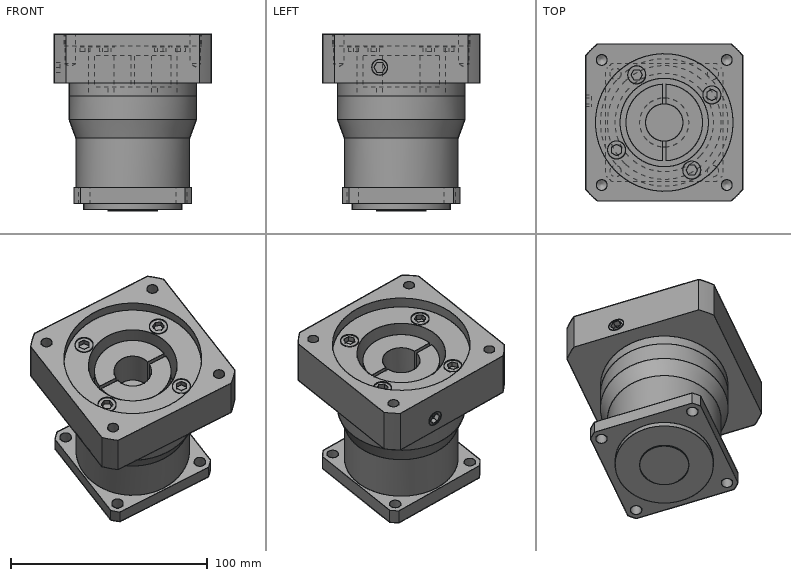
import cadquery as cq
import math

OUTPUT_BOSS_HEIGHT = 0.7
PILOT_HEIGHT = 3.0
FOOT_THICKNESS = 8.3
BARREL_HEIGHT = 25.0
CONE_HEIGHT = 9.6
GEAR_RING_HEIGHT = 12.0

TOTAL_HEIGHT = 90.0
PLATE_THICKNESS = 25.0

OUTPUT_BOSS_DIAMETER = 25.0
PILOT_DIAMETER = 50.0
BARREL_DIAMETER = 58.0
BODY_DIAMETER = 65.0
FOOT_SIDE = 60.0
FOOT_CORNER_DIAMETER = 80.3
FOOT_BOLT_CIRCLE = 70.0
FOOT_HOLE_DIAMETER = 5.8

COLLAR_DIAMETER = 39.0
COLLAR_HEIGHT = 16.0
COLLAR_TOP_DEPTH = 11.0
NECK_DIAMETER = 25.0
BORE_DIAMETER = 19.0
SLOT_WIDTH = 1.7

PLATE_SIDE = 80.0
PLATE_CORNER_DIAMETER = 105.0
MOTOR_PILOT_DIAMETER = 70.0
MOTOR_PILOT_DEPTH = 6.0
HUB_CLEARANCE_DIAMETER = 45.0
MOTOR_BOLT_CIRCLE = 90.0
MOTOR_HOLE_DIAMETER = 5.5
MOTOR_HOLE_DEPTH = 15.0
DRILL_POINT_ANGLE = 118.0

SCREW_CIRCLE_RADIUS = 28.0
SCREW_START_ANGLE = 30.0
SCREW_COUNT = 4
SCREW_HEAD_DIAMETER = 9.2
SCREW_EDGE_RADIUS = 0.5
PLUG_DIAMETER = 8.1
PLUG_GAP_WIDTH = 0.1
PLUG_GAP_DEPTH = 0.3
PLUG_Y = 11.0
PLUG_DEPTH_FROM_TOP = 16.9
SOCKET_ACROSS_FLATS = 5.0
SOCKET_DEPTH = 3.0

foot_bottom = OUTPUT_BOSS_HEIGHT + PILOT_HEIGHT
foot_top = foot_bottom + FOOT_THICKNESS
barrel_top = foot_top + BARREL_HEIGHT
cone_top = barrel_top + CONE_HEIGHT
joint_level = cone_top + GEAR_RING_HEIGHT
plate_bottom = TOTAL_HEIGHT - PLATE_THICKNESS
recess_floor = TOTAL_HEIGHT - MOTOR_PILOT_DEPTH
collar_top = TOTAL_HEIGHT - COLLAR_TOP_DEPTH
collar_bottom = collar_top - COLLAR_HEIGHT


def cylinder(diameter, bottom, top):
    """Upright cylinder on the Z axis."""
    return cq.Workplane("XY").workplane(offset=bottom).circle(diameter / 2).extrude(top - bottom)


def turned_corner_plate(side, corner_diameter, bottom, top):
    """Square plate whose corners are turned to a circle about the Z axis."""
    square = cq.Workplane("XY").workplane(offset=bottom).rect(side, side).extrude(top - bottom)
    return square.intersect(cylinder(corner_diameter, bottom, top))


def corner_points(bolt_circle):
    """Four points on the diagonals of a bolt circle."""
    reach = bolt_circle / 2 / math.sqrt(2)
    return [(x, y) for x in (-reach, reach) for y in (-reach, reach)]


def hexagon_socket():
    """Hexagon socket with its mouth at the origin, running down, with two corners along X."""
    across_corners = SOCKET_ACROSS_FLATS / math.cos(math.radians(30))
    return cq.Workplane("XY").polygon(6, across_corners).extrude(-SOCKET_DEPTH)


def screw_cut():
    """Cut that leaves a flush round-edged screw head in its seat: rounded groove and socket."""
    seat = cylinder(SCREW_HEAD_DIAMETER, -SCREW_EDGE_RADIUS, 0)
    head = cylinder(SCREW_HEAD_DIAMETER, -2 * SCREW_EDGE_RADIUS, 0)
    rounded_head = head.faces(">Z").edges().fillet(SCREW_EDGE_RADIUS)
    return seat.cut(rounded_head).union(hexagon_socket())


def plug_cut():
    """Cut that leaves a flush plug: fine ring gap and socket, facing +Z at the origin."""
    gap = cylinder(PLUG_DIAMETER, -PLUG_GAP_DEPTH, 0)
    gap = gap.cut(cylinder(PLUG_DIAMETER - 2 * PLUG_GAP_WIDTH, -PLUG_GAP_DEPTH, 0))
    return gap.union(hexagon_socket())


def drilled_hole():
    """Blind hole with a drill point, its mouth at the origin and running down."""
    radius = MOTOR_HOLE_DIAMETER / 2
    point_height = radius / math.tan(math.radians(DRILL_POINT_ANGLE / 2))
    profile = [
        (0, 0),
        (radius, 0),
        (radius, -MOTOR_HOLE_DEPTH),
        (0, -MOTOR_HOLE_DEPTH - point_height),
    ]
    return cq.Workplane("XZ").polyline(profile).close().revolve(360, (0, 0), (0, 1))


def make_housing():
    """Turned housing closed below by the output boss, with its square mounting foot."""
    profile = [
        (0, 0),
        (OUTPUT_BOSS_DIAMETER / 2, 0),
        (OUTPUT_BOSS_DIAMETER / 2, OUTPUT_BOSS_HEIGHT),
        (PILOT_DIAMETER / 2, OUTPUT_BOSS_HEIGHT),
        (PILOT_DIAMETER / 2, foot_bottom),
        (BARREL_DIAMETER / 2, foot_bottom),
        (BARREL_DIAMETER / 2, barrel_top),
        (BODY_DIAMETER / 2, cone_top),
        (BODY_DIAMETER / 2, joint_level),
        (0, joint_level),
    ]
    turned = cq.Workplane("XZ").polyline(profile).close().revolve(360, (0, 0), (0, 1))
    foot = turned_corner_plate(FOOT_SIDE, FOOT_CORNER_DIAMETER, foot_bottom, foot_top)
    foot_holes = (
        cq.Workplane("XY")
        .workplane(offset=foot_bottom)
        .pushPoints(corner_points(FOOT_BOLT_CIRCLE))
        .circle(FOOT_HOLE_DIAMETER / 2)
        .extrude(FOOT_THICKNESS)
    )
    return turned.union(foot.cut(foot_holes))


def make_clamp_hub():
    """Bored clamp collar on a narrower neck, slotted across along Y down to the neck."""
    neck = cylinder(NECK_DIAMETER, joint_level, collar_bottom)
    collar = cylinder(COLLAR_DIAMETER, collar_bottom, collar_top)
    slot = (
        cq.Workplane("XY")
        .workplane(offset=collar_bottom)
        .rect(SLOT_WIDTH, COLLAR_DIAMETER)
        .extrude(COLLAR_HEIGHT)
    )
    bore = cylinder(BORE_DIAMETER, joint_level, collar_top)
    return neck.union(collar.cut(slot)).cut(bore)


def make_gearbox():
    """Gearbox body: housing with the input clamp hub standing on it."""
    return make_housing().union(make_clamp_hub())


def make_adapter():
    """Motor adapter: square plate with a round spigot that sits on the gearbox."""
    spigot = cylinder(BODY_DIAMETER, joint_level, plate_bottom)
    plate = turned_corner_plate(PLATE_SIDE, PLATE_CORNER_DIAMETER, plate_bottom, TOTAL_HEIGHT)
    adapter = spigot.union(plate)

    adapter = adapter.cut(cylinder(MOTOR_PILOT_DIAMETER, recess_floor, TOTAL_HEIGHT))
    adapter = adapter.cut(cylinder(HUB_CLEARANCE_DIAMETER, joint_level, recess_floor))

    for x, y in corner_points(MOTOR_BOLT_CIRCLE):
        adapter = adapter.cut(drilled_hole().translate((x, y, TOTAL_HEIGHT)))

    first_screw = screw_cut().translate((SCREW_CIRCLE_RADIUS, 0, recess_floor))
    for index in range(SCREW_COUNT):
        angle = SCREW_START_ANGLE + index * 360 / SCREW_COUNT
        adapter = adapter.cut(first_screw.rotate((0, 0, 0), (0, 0, 1), angle))

    plug = plug_cut().rotate((0, 0, 0), (0, 0, 1), 90).rotate((0, 0, 0), (0, 1, 0), -90)
    plug_position = (-PLATE_SIDE / 2, PLUG_Y, TOTAL_HEIGHT - PLUG_DEPTH_FROM_TOP)
    return adapter.cut(plug.translate(plug_position))


gearbox = make_gearbox()
adapter = make_adapter()

result = cq.Compound.makeCompound([gearbox.val(), adapter.val()])